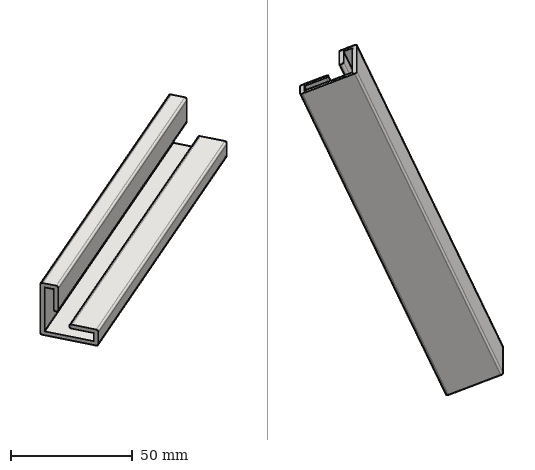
import cadquery as cq

length = 152.4
leg = 25.5
wall = 2.0
return_width = 8.0
lip_length = 12.6

corner_radius = wall / 2
lip_end = leg - lip_length
tip_tangent = lip_end + corner_radius
lip_middle = return_width - wall / 2
far_inside = leg - wall
return_inside = return_width - wall

bar = (
    cq.Workplane("XZ")
    .moveTo(0, 0)
    .lineTo(0, leg)
    .lineTo(return_width, leg)
    .lineTo(return_width, tip_tangent)
    .threePointArc((lip_middle, lip_end), (return_inside, tip_tangent))
    .lineTo(return_inside, far_inside)
    .lineTo(wall, far_inside)
    .lineTo(wall, wall)
    .lineTo(far_inside, wall)
    .lineTo(far_inside, return_inside)
    .lineTo(tip_tangent, return_inside)
    .threePointArc((lip_end, lip_middle), (tip_tangent, return_width))
    .lineTo(leg, return_width)
    .lineTo(leg, 0)
    .close()
    .extrude(-length)
)

outer_bends = [
    (0, 0),
    (0, leg),
    (return_width, leg),
    (leg, 0),
    (leg, return_width),
]
for x, z in outer_bends:
    bend_edge = cq.selectors.NearestToPointSelector((x, length / 2, z))
    bar = bar.edges(bend_edge).fillet(corner_radius)

result = bar